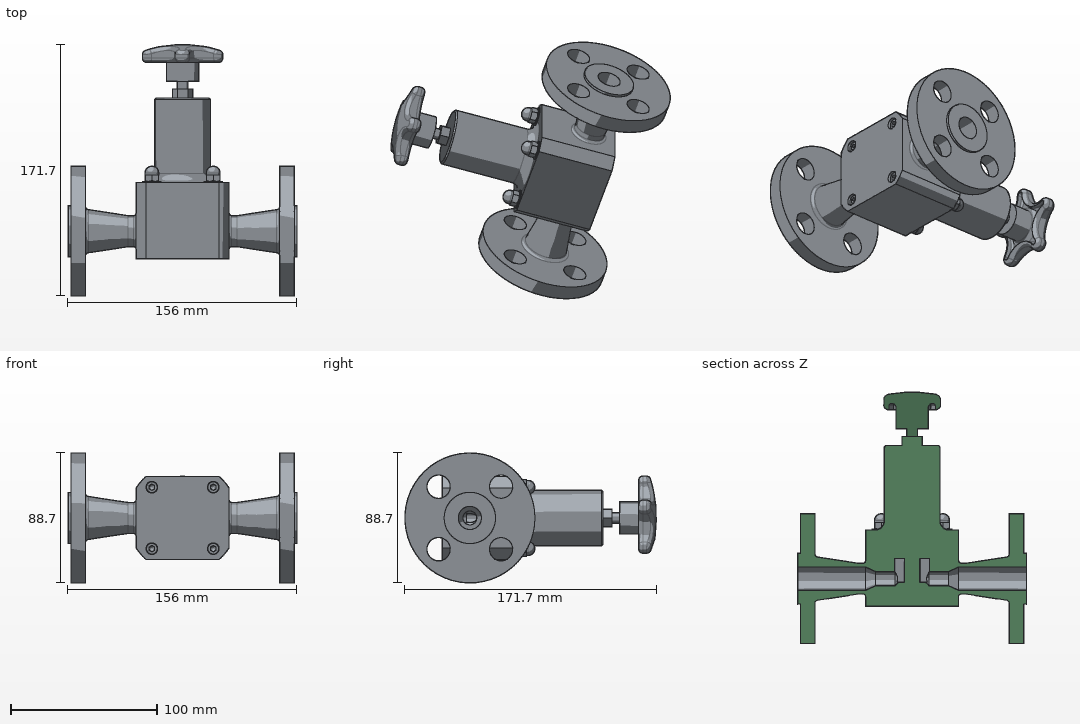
import cadquery as cq
import math


OVERALL_LENGTH_X = 156.0
OVERALL_LENGTH_Y = 171.7

ARC_MIDPOINT = 1 - math.sqrt(0.5)

BLOCK_HALF_X = 31.8
BLOCK_HALF_Z = 28.3
BLOCK_FRONT_Y = -18.9
BLOCK_BACK_Y = 33.3
BLOCK_CORNER_RADIUS = 37.8

NECK_DIAMETER = 21.3
NECK_ROOT_FILLET = 1.7
NECK_STRAIGHT = 5.3
CONE_END_DIAMETER = 29.5
FLANGE_FILLET = 2.0
FLANGE_DIAMETER = 88.7
FLANGE_INNER_X = 66.1
FLANGE_THICKNESS = 10.1
RAISED_FACE_DIAMETER = 35.0
FACE_X = OVERALL_LENGTH_X / 2
FLANGE_HOLE_DIAMETER = 15.8
FLANGE_HOLE_OFFSET = 21.3

BORE_DIAMETER = 15.8
BORE_END_DIAMETER = 9.5
BORE_TAPER = 6.9
BORE_TIP_X = 6.9
PORT_DIAMETER = 6.5
PORT_X = 8.5
PORT_BOTTOM_Y = -2.4
PORT_TOP_Y = 13.7

BONNET_DIAMETER = 38.1
BONNET_TOP_Y = 90.8
BONNET_ROOT_FILLET = 6.2
BONNET_CHAMFER = 1.0
GLAND_CORNERS = 14.0
GLAND_TOP_Y = 97.0

SPINDLE_DIAMETER = 7.4
HUB_DIAMETER = 22.1
HUB_BOTTOM_Y = 102.1
WHEEL_BOTTOM_Y = 115.0
WHEEL_TOP_Y = OVERALL_LENGTH_Y - FLANGE_DIAMETER / 2
LOBE_COUNT = 5
LOBE_CENTRE_RADIUS = 23.9
LOBE_RADIUS = 4.8
VALLEY_RADIUS = 12.5
DOME_RADIUS = 87.5
WHEEL_FILLET = 3.0
WHEEL_POCKET_DEPTH = 4.3
WHEEL_POCKET_FILLET = 1.4
HUB_ROOT_FILLET = 3.0

BOLT_OFFSET = 21.0
BOLT_POSITIONS = [(x, z) for x in (-BOLT_OFFSET, BOLT_OFFSET) for z in (-BOLT_OFFSET, BOLT_OFFSET)]
SHANK_DIAMETER = 4.0
HEAD_DIAMETER = 7.4
HEAD_POCKET_DIAMETER = 7.9
HEAD_RECESS = 1.7
HEAD_LENGTH = 4.0
SOCKET_FLATS = 3.8
SOCKET_DEPTH = 2.0
SOCKET_TIP_DEPTH = 1.9

WASHER_DIAMETER = 12.7
WASHER_THICKNESS = 0.7
NUT_FLATS = 9.3
NUT_CAP_DIAMETER = 9.5
NUT_CHAMFER = 0.7
NUT_HEX_TOP = 5.1
NUT_COLLAR_TOP = 6.4


def rod(diameter, y_start, y_end, x=0, z=0):
    """Cylinder along Y."""
    return cq.Workplane(
        cq.Solid.makeCylinder(diameter / 2, y_end - y_start, cq.Vector(x, y_start, z), cq.Vector(0, 1, 0))
    )


def round_root(diameter, fillet, base_y, side):
    """Flared root of a round boss on a face at base_y; side is +1 or -1, the way the boss points along Y."""
    radius = diameter / 2
    bulge = ARC_MIDPOINT * fillet
    return (
        cq.Workplane("XY")
        .moveTo(0, base_y)
        .lineTo(radius + fillet, base_y)
        .threePointArc((radius + bulge, base_y + side * bulge), (radius, base_y + side * fillet))
        .lineTo(0, base_y + side * fillet)
        .close()
        .revolve(360, (0, 0, 0), (0, 1, 0))
    )


def along_y(y):
    """Workplane facing +Y at height y, with its x direction on +Z and its y direction on +X."""
    return cq.Workplane(cq.Plane((0, y, 0), (0, 0, 1), (0, 1, 0)))


def make_block():
    """Rectangular block with its four long edges rounded to one cylinder about the Y axis."""
    box = cq.Workplane("XZ", (0, BLOCK_BACK_Y, 0)).rect(2 * BLOCK_HALF_X, 2 * BLOCK_HALF_Z)
    box = box.extrude(BLOCK_BACK_Y - BLOCK_FRONT_Y)
    return box.intersect(rod(2 * BLOCK_CORNER_RADIUS, BLOCK_FRONT_Y, BLOCK_BACK_Y))


def make_flanged_neck():
    """Neck, flange and raised face on the +X side."""
    neck_r = NECK_DIAMETER / 2
    cone_r = CONE_END_DIAMETER / 2
    flange_r = FLANGE_DIAMETER / 2
    face_r = RAISED_FACE_DIAMETER / 2
    flange_outer_x = FLANGE_INNER_X + FLANGE_THICKNESS
    root_x = BLOCK_HALF_X
    cone_end_x = FLANGE_INNER_X - FLANGE_FILLET
    profile = (
        cq.Workplane("XY")
        .moveTo(root_x, 0)
        .lineTo(root_x, neck_r + NECK_ROOT_FILLET)
        .threePointArc(
            (root_x + ARC_MIDPOINT * NECK_ROOT_FILLET, neck_r + ARC_MIDPOINT * NECK_ROOT_FILLET),
            (root_x + NECK_ROOT_FILLET, neck_r),
        )
        .lineTo(root_x + NECK_STRAIGHT, neck_r)
        .lineTo(cone_end_x, cone_r)
        .threePointArc(
            (FLANGE_INNER_X - ARC_MIDPOINT * FLANGE_FILLET, cone_r + ARC_MIDPOINT * FLANGE_FILLET),
            (FLANGE_INNER_X, cone_r + FLANGE_FILLET),
        )
        .lineTo(FLANGE_INNER_X, flange_r)
        .lineTo(flange_outer_x, flange_r)
        .lineTo(flange_outer_x, face_r)
        .lineTo(FACE_X, face_r)
        .lineTo(FACE_X, 0)
        .close()
    )
    neck = profile.revolve(360, (0, 0, 0), (1, 0, 0))
    holes = (
        cq.Workplane("YZ", (FLANGE_INNER_X, 0, 0))
        .rect(2 * FLANGE_HOLE_OFFSET, 2 * FLANGE_HOLE_OFFSET, forConstruction=True)
        .vertices()
        .circle(FLANGE_HOLE_DIAMETER / 2)
        .extrude(FLANGE_THICKNESS)
    )
    return neck.cut(holes)


def make_passage():
    """Stepped bore with a pointed end and the cross port that opens into it, on the +X side."""
    bore_r = BORE_DIAMETER / 2
    end_r = BORE_END_DIAMETER / 2
    bore = (
        cq.Workplane("XY")
        .moveTo(BORE_TIP_X, 0)
        .lineTo(BORE_TIP_X + end_r, end_r)
        .lineTo(BLOCK_HALF_X - BORE_TAPER, end_r)
        .lineTo(BLOCK_HALF_X, bore_r)
        .lineTo(FACE_X, bore_r)
        .lineTo(FACE_X, 0)
        .close()
        .revolve(360, (0, 0, 0), (1, 0, 0))
    )
    return bore.union(rod(PORT_DIAMETER, PORT_BOTTOM_Y, PORT_TOP_Y, x=PORT_X))


def make_bonnet():
    """Bonnet with a flared root and a hexagon gland on top."""
    bonnet = rod(BONNET_DIAMETER, BLOCK_BACK_Y, BONNET_TOP_Y).faces(">Y").chamfer(BONNET_CHAMFER)
    root = round_root(BONNET_DIAMETER, BONNET_ROOT_FILLET, BLOCK_BACK_Y, 1)
    gland = cq.Workplane("XZ", (0, GLAND_TOP_Y, 0)).polygon(6, GLAND_CORNERS)
    return bonnet.union(root).union(gland.extrude(GLAND_TOP_Y - BONNET_TOP_Y))


def star(inset):
    """Closed star outline, drawn inset from the handwheel's rim, as round lobes joined by round valleys."""
    lobe_r = LOBE_RADIUS - inset
    valley_r = VALLEY_RADIUS + inset
    half_pitch = math.pi / LOBE_COUNT
    reach = LOBE_RADIUS + VALLEY_RADIUS
    valley_centre_r = LOBE_CENTRE_RADIUS * math.cos(half_pitch) + math.sqrt(
        reach**2 - (LOBE_CENTRE_RADIUS * math.sin(half_pitch)) ** 2
    )

    def polar(radius, angle):
        return radius * math.cos(angle), radius * math.sin(angle)

    def joint(lobe_angle, valley_angle):
        lobe = polar(LOBE_CENTRE_RADIUS, lobe_angle)
        valley = polar(valley_centre_r, valley_angle)
        return tuple(a + (b - a) * lobe_r / reach for a, b in zip(lobe, valley))

    outline = along_y(WHEEL_BOTTOM_Y).moveTo(*joint(0, -half_pitch))
    for index in range(LOBE_COUNT):
        lobe_angle = 2 * half_pitch * index
        valley_angle = lobe_angle + half_pitch
        next_angle = valley_angle + half_pitch
        outline = outline.threePointArc(
            polar(LOBE_CENTRE_RADIUS + lobe_r, lobe_angle), joint(lobe_angle, valley_angle)
        )
        outline = outline.threePointArc(
            polar(valley_centre_r - valley_r, valley_angle), joint(next_angle, valley_angle)
        )
    return outline.close()


def make_handwheel():
    """Domed star wheel, hollow underneath, with its hub and the spindle down to the gland."""
    dome = cq.Workplane("XY").sphere(DOME_RADIUS).translate((0, WHEEL_TOP_Y - DOME_RADIUS, 0))
    wheel = star(0).extrude(WHEEL_TOP_Y - WHEEL_BOTTOM_Y).intersect(dome)
    wheel = wheel.faces("<Y").edges().fillet(WHEEL_FILLET)
    wheel = wheel.faces(">Y").edges().fillet(WHEEL_FILLET)
    pocket = star(WHEEL_FILLET).extrude(WHEEL_POCKET_DEPTH).faces(">Y").edges().fillet(WHEEL_POCKET_FILLET)
    wheel = wheel.cut(pocket)
    pocket_floor_y = WHEEL_BOTTOM_Y + WHEEL_POCKET_DEPTH
    hub = rod(HUB_DIAMETER, HUB_BOTTOM_Y, pocket_floor_y)
    hub = hub.union(round_root(HUB_DIAMETER, HUB_ROOT_FILLET, pocket_floor_y, -1))
    spindle = rod(SPINDLE_DIAMETER, GLAND_TOP_Y, HUB_BOTTOM_Y)
    return wheel.union(hub).union(spindle)


def make_fastener(x, z):
    """Socket-head screw with its washer and acorn nut."""
    head_y = BLOCK_FRONT_Y + HEAD_RECESS
    head_end_y = head_y + HEAD_LENGTH
    hex_top_y = BLOCK_BACK_Y + NUT_HEX_TOP
    collar_top_y = BLOCK_BACK_Y + NUT_COLLAR_TOP
    washer_top_y = BLOCK_BACK_Y + WASHER_THICKNESS
    nut_corners = NUT_FLATS / math.cos(math.pi / 6)
    socket_corners = SOCKET_FLATS / math.cos(math.pi / 6)

    screw = rod(HEAD_DIAMETER, head_y, head_end_y).union(rod(SHANK_DIAMETER, head_end_y, hex_top_y))
    tip = cq.Solid.makeCone(
        SOCKET_FLATS / 2, 0, SOCKET_TIP_DEPTH, cq.Vector(0, head_y + SOCKET_DEPTH, 0), cq.Vector(0, 1, 0)
    )
    screw = screw.cut(cq.Workplane(tip)).cut(along_y(head_y).polygon(6, socket_corners).extrude(SOCKET_DEPTH))
    washer = rod(WASHER_DIAMETER, BLOCK_BACK_Y, washer_top_y)
    nut = along_y(washer_top_y).polygon(6, nut_corners).extrude(hex_top_y - washer_top_y)
    nut = nut.intersect(rod(nut_corners, washer_top_y, hex_top_y).faces("<Y").chamfer(NUT_CHAMFER))
    collar = rod(NUT_CAP_DIAMETER, hex_top_y, collar_top_y)
    cap = cq.Workplane("XY").sphere(NUT_CAP_DIAMETER / 2).translate((0, collar_top_y, 0))
    cap = cap.intersect(rod(NUT_CAP_DIAMETER, collar_top_y, collar_top_y + NUT_CAP_DIAMETER))
    return screw.union(washer).union(nut).union(collar).union(cap).translate((x, 0, z))


def make_housing(fasteners):
    """Block, bonnet, gland and flanged necks in one piece, with seats for the fasteners."""
    neck = make_flanged_neck()
    passage = make_passage()
    housing = make_block().union(make_bonnet())
    housing = housing.union(neck).union(neck.mirror("YZ"))
    housing = housing.cut(passage).cut(passage.mirror("YZ"))
    pocket_bottom_y = BLOCK_FRONT_Y + HEAD_RECESS + HEAD_LENGTH
    for x, z in BOLT_POSITIONS:
        housing = housing.cut(rod(HEAD_POCKET_DIAMETER, BLOCK_FRONT_Y, pocket_bottom_y, x, z))
    for fastener in fasteners:
        housing = housing.cut(fastener)
    return housing


fasteners = [make_fastener(x, z) for x, z in BOLT_POSITIONS]
housing = make_housing(fasteners)
handwheel = make_handwheel()

result = cq.Compound.makeCompound([housing.val(), handwheel.val(), *[fastener.val() for fastener in fasteners]])